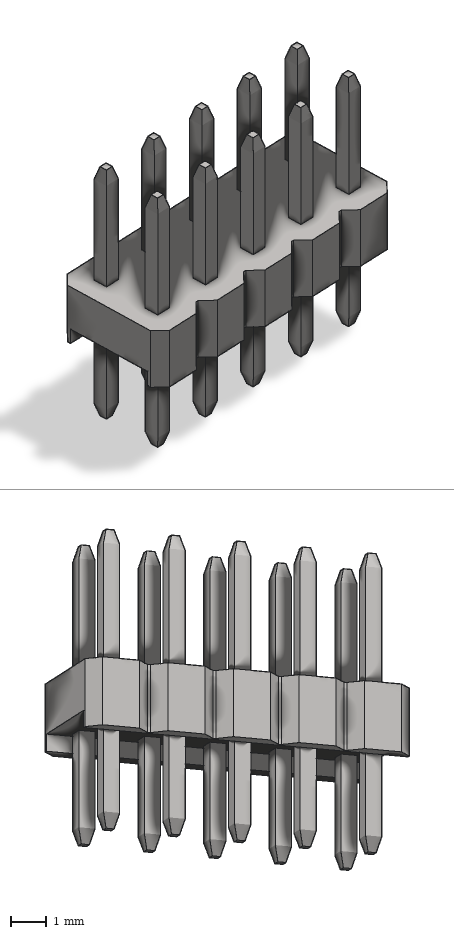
import cadquery as cq

pitch = 2.0
columns = 2
rows = 5

housing_width = columns * pitch
housing_length = 9.9
housing_height = pitch
cell_length = housing_length - (rows - 1) * pitch
corner_chamfer = 0.39

foot_width = 0.495
channel_height = 0.5

pin_width = 0.495
tip_width = 0.25
tip_length = 0.45
pin_rise = 4.0
pin_drop = 2.8


def make_housing():
    """Chamfered cells joined by a core that fills the narrow gaps between them."""
    cell = (
        cq.Workplane("XY")
        .box(housing_width, cell_length, housing_height, centered=(True, True, False))
        .edges("|Z")
        .chamfer(corner_chamfer)
    )
    housing = cq.Workplane("XY").box(
        housing_width - 2 * corner_chamfer,
        housing_length,
        housing_height,
        centered=(True, True, False),
    )
    for row in range(rows):
        cell_y = (row - (rows - 1) / 2) * pitch
        housing = housing.union(cell.translate((0, cell_y, 0)))
    return housing


def make_channel():
    """Straight channel running the full length of the underside."""
    return cq.Workplane("XY").box(
        housing_width - 2 * foot_width,
        housing_length,
        channel_height,
        centered=(True, True, False),
    )


def make_pin():
    """Square pin on the Z axis, passing through the housing."""
    top = housing_height + pin_rise
    bottom = -pin_drop
    shank_length = top - bottom - 2 * tip_length
    shank = (
        cq.Workplane("XY")
        .workplane(offset=bottom + tip_length)
        .rect(pin_width, pin_width)
        .extrude(shank_length)
    )
    upper_tip = (
        shank.faces(">Z")
        .workplane()
        .rect(pin_width, pin_width)
        .workplane(offset=tip_length)
        .rect(tip_width, tip_width)
        .loft(combine=False)
    )
    middle = (top + bottom) / 2
    lower_tip = upper_tip.mirror("XY", (0, 0, middle))
    return shank.union(upper_tip).union(lower_tip)


result = make_housing().cut(make_channel())
pin = make_pin()
for column in range(columns):
    for row in range(rows):
        pin_x = (column - (columns - 1) / 2) * pitch
        pin_y = (row - (rows - 1) / 2) * pitch
        result = result.union(pin.translate((pin_x, pin_y, 0)))